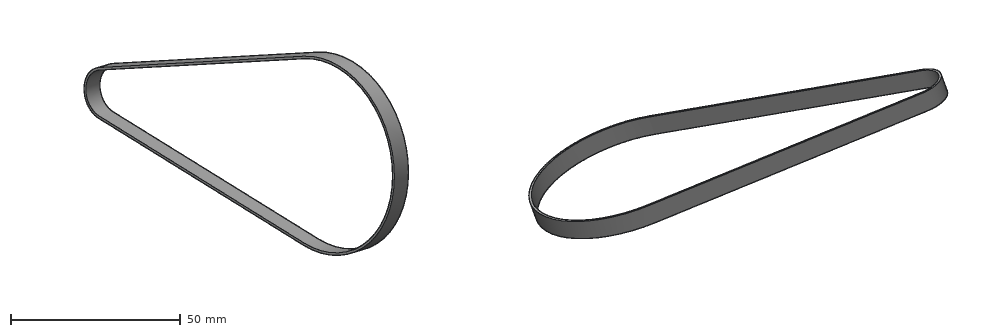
import cadquery as cq
import math

belt_width = 6.0
belt_thickness = 0.8
large_outer_radius = 30.1
small_outer_radius = 8.1
center_distance = 90.0

run_angle = math.asin((large_outer_radius - small_outer_radius) / center_distance)


def belt_loop(inset):
    """Solid bounded by the outer belt outline moved inwards by inset."""
    large_radius = large_outer_radius - inset
    small_radius = small_outer_radius - inset
    normal_x = -math.sin(run_angle)
    normal_z = math.cos(run_angle)

    large_tangent_x = large_radius * normal_x
    large_tangent_z = large_radius * normal_z
    small_tangent_x = small_radius * normal_x - center_distance
    small_tangent_z = small_radius * normal_z

    return (
        cq.Workplane("XZ")
        .moveTo(small_tangent_x, small_tangent_z)
        .lineTo(large_tangent_x, large_tangent_z)
        .threePointArc((large_radius, 0), (large_tangent_x, -large_tangent_z))
        .lineTo(small_tangent_x, -small_tangent_z)
        .threePointArc((-center_distance - small_radius, 0), (small_tangent_x, small_tangent_z))
        .close()
        .extrude(belt_width / 2, both=True)
    )


result = belt_loop(0).cut(belt_loop(belt_thickness))